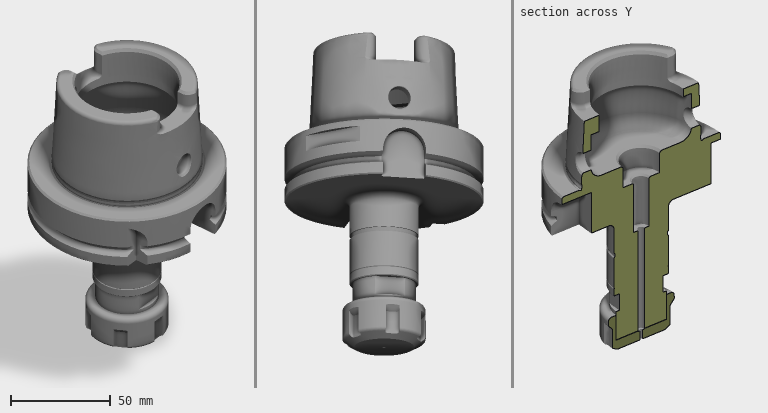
import cadquery as cq
import math


total_height = 155.0
shank_height = 50.0
nut_bottom_z = shank_height - total_height

shank_base_radius = 37.8
shank_half_taper = 1 / 20
shank_base_z = 3.1
shank_top_radius = shank_base_radius - shank_half_taper * (shank_height - shank_base_z)
shank_top_fillet = 2.0
neck_depth = 0.5
neck_top_z = 2.0
neck_bottom_z = 1.1

flange_radius = 49.99
flange_bottom_z = -29.0
flange_top_chamfer = 1.0
flange_bottom_chamfer = 0.6
relief_outer_radius = 39.4
relief_depth = 0.5
gripper_groove_depth = 3.7
gripper_groove_top_z = -17.0
gripper_groove_bottom_z = -23.0
gripper_groove_slope = 1.7

stem_radius = 17.4
stem_fillet = 3.0
stem_bottom_z = -72.2
stem_chamfer = 0.5
stem_groove_depth = 0.6
stem_groove_top_z = -46.8
stem_groove_foot_z = -48.7
stem_groove_bottom_z = -49.3
ring_groove_depth = 0.3
ring_groove_z = -67.6
neck_radius = 16.0
wrench_flat_distance = 14.0
wrench_flat_bottom_z = -81.8

mouth_radius = 26.4
mouth_chamfer_width = 1.1
mouth_chamfer_height = 1.5
mouth_bottom_z = 29.9
recess_radius = 31.5
recess_fillet = 6.5
floor_z = 3.5

thread_radius = 11.3
thread_chamfer = 1.2
thread_bottom_z = -9.3
passage_radius = 4.6
passage_chamfer = 1.0
passage_bottom_z = -38.8
channel_radius = 1.9
jet_radius = 0.7

notch_start_x = 7.8
notch_half_width = 10.0
notch_corner_radius = 5.0
notch_mouth_x = 32.1
notch_floor_fillet = 2.0
notch_top_chamfer = 1.2
deep_notch_floor_z = 34.9
shallow_notch_floor_z = 40.0

cross_hole_radius = 5.7
cross_hole_sink_x = 36.6
cross_hole_sink_depth = 2.3
cross_hole_z = 15.0

slot_top_z = -4.6
wide_slot_half_width = 11.0
wide_slot_floor_x = 44.0
narrow_slot_half_width = 10.0
narrow_slot_floor_x = 31.5
orientation_notch_wall_y = -31.6

label_flat_distance = 47.3
label_flat_top_z = -3.5
label_flat_bottom_z = -11.5
label_flat_angle = 135

nut_radius = 21.0
nut_top_z = -84.0
nut_top_fillet = 2.3
nut_face_radius = 15.0
nut_cone_angle = 30
nut_edge_fillet = 1.9
nut_socket_bottom_z = -99.2
nut_slot_count = 6
nut_slot_width = 7.1
nut_slot_floor_radius = 18.3
nut_slot_floor_fillet = 1.1
nut_slot_top_z = -88.5
nut_slot_run_out = 3.1
short_slot_drop = 1.9
short_slot_index = 5

beyond = 62.0
pick_margin = 0.2


def cylinder(radius, bottom_z, top_z):
    return cq.Workplane("XY").workplane(offset=bottom_z).circle(radius).extrude(top_z - bottom_z)


def revolved(points):
    """Solid of revolution about Z from (radius, height) points."""
    return cq.Workplane("XZ").polyline(points).close().revolve(360, (0, 0, 0), (0, 1, 0))


def holder_blank():
    neck = shank_base_radius - neck_depth
    relief_middle = (shank_base_radius + relief_outer_radius) / 2
    groove_radius = flange_radius - gripper_groove_depth
    stem_groove_radius = stem_radius - stem_groove_depth
    return (
        cq.Workplane("XZ")
        .moveTo(0, shank_height)
        .lineTo(shank_top_radius, shank_height)
        .lineTo(shank_base_radius, shank_base_z)
        .lineTo(neck, neck_top_z)
        .lineTo(neck, neck_bottom_z)
        .lineTo(shank_base_radius, 0)
        .lineTo(shank_base_radius, -relief_depth)
        .lineTo(relief_middle, -relief_depth)
        .lineTo(relief_outer_radius, 0)
        .lineTo(flange_radius - flange_top_chamfer, 0)
        .lineTo(flange_radius, -flange_top_chamfer)
        .lineTo(flange_radius, gripper_groove_top_z)
        .lineTo(groove_radius, gripper_groove_top_z - gripper_groove_slope)
        .lineTo(groove_radius, gripper_groove_bottom_z + gripper_groove_slope)
        .lineTo(flange_radius, gripper_groove_bottom_z)
        .lineTo(flange_radius, flange_bottom_z + flange_bottom_chamfer)
        .lineTo(flange_radius - flange_bottom_chamfer, flange_bottom_z)
        .lineTo(stem_radius + stem_fillet, flange_bottom_z)
        .radiusArc((stem_radius, flange_bottom_z - stem_fillet), -stem_fillet)
        .lineTo(stem_radius, stem_groove_top_z)
        .lineTo(stem_groove_radius, stem_groove_top_z)
        .lineTo(stem_groove_radius, stem_groove_foot_z)
        .lineTo(stem_radius, stem_groove_bottom_z)
        .lineTo(stem_radius, ring_groove_z + ring_groove_depth)
        .lineTo(stem_radius - ring_groove_depth, ring_groove_z)
        .lineTo(stem_radius, ring_groove_z - ring_groove_depth)
        .lineTo(stem_radius, stem_bottom_z + stem_chamfer)
        .lineTo(stem_radius - stem_chamfer, stem_bottom_z)
        .lineTo(neck_radius, stem_bottom_z)
        .lineTo(neck_radius, nut_socket_bottom_z)
        .lineTo(0, nut_socket_bottom_z)
        .close()
        .revolve(360, (0, 0, 0), (0, 1, 0))
    )


def shank_cavity():
    """Clamping bore of the shank with the coolant passage below it."""
    return (
        cq.Workplane("XZ")
        .moveTo(0, shank_height)
        .lineTo(mouth_radius + mouth_chamfer_width, shank_height)
        .lineTo(mouth_radius, shank_height - mouth_chamfer_height)
        .lineTo(mouth_radius, mouth_bottom_z)
        .lineTo(recess_radius, mouth_bottom_z)
        .lineTo(recess_radius, floor_z + recess_fillet)
        .radiusArc((recess_radius - recess_fillet, floor_z), recess_fillet)
        .lineTo(thread_radius + thread_chamfer, floor_z)
        .lineTo(thread_radius, floor_z - thread_chamfer)
        .lineTo(thread_radius, thread_bottom_z)
        .lineTo(passage_radius + passage_chamfer, thread_bottom_z)
        .lineTo(passage_radius, thread_bottom_z - passage_chamfer)
        .lineTo(passage_radius, passage_bottom_z)
        .lineTo(channel_radius, passage_bottom_z)
        .lineTo(channel_radius, nut_socket_bottom_z)
        .lineTo(0, nut_socket_bottom_z)
        .close()
        .revolve(360, (0, 0, 0), (0, 1, 0))
    )


def notch_outline(start_z):
    """Plan of a rim notch: a straight channel that flares out round the prong corners."""
    corner_x = notch_mouth_x - notch_corner_radius
    corner_y = notch_half_width + notch_corner_radius
    return (
        cq.Workplane("XY")
        .workplane(offset=start_z)
        .moveTo(notch_start_x, -notch_half_width)
        .lineTo(corner_x, -notch_half_width)
        .radiusArc((notch_mouth_x, -corner_y), notch_corner_radius)
        .lineTo(notch_mouth_x, -beyond)
        .lineTo(beyond, -beyond)
        .lineTo(beyond, beyond)
        .lineTo(notch_mouth_x, beyond)
        .lineTo(notch_mouth_x, corner_y)
        .radiusArc((corner_x, notch_half_width), notch_corner_radius)
        .lineTo(notch_start_x, notch_half_width)
        .close()
    )


def drive_notch(bottom_z, side):
    """Cutter for one rim notch, rounded at the floor and chamfered at the top."""
    channel = notch_outline(bottom_z).extrude(shank_height - bottom_z)
    channel = channel.faces("<Z").edges().fillet(notch_floor_fillet)
    flare = notch_outline(shank_height - notch_top_chamfer).extrude(notch_top_chamfer, taper=-45)
    cutter = channel.union(flare)
    return cutter if side > 0 else cutter.mirror("YZ")


def cross_hole():
    """Cutter for the hole across the shank, with a 45 degree countersink at each end."""
    hole = cq.Workplane("YZ").center(0, cross_hole_z).circle(cross_hole_radius).extrude(beyond, both=True)
    sink = (
        cq.Workplane("YZ")
        .workplane(offset=cross_hole_sink_x)
        .center(0, cross_hole_z)
        .circle(cross_hole_radius)
        .workplane(offset=cross_hole_sink_depth)
        .circle(cross_hole_radius + cross_hole_sink_depth)
        .loft()
    )
    return hole.union(sink).union(sink.mirror("YZ"))


def flange_slot(half_width, floor_x, center_y, side):
    """Cutter for a round-topped slot milled along X down to a flat floor."""
    spring_z = slot_top_z - half_width
    slot = (
        cq.Workplane("YZ")
        .workplane(offset=floor_x)
        .moveTo(center_y - half_width, flange_bottom_z)
        .lineTo(center_y - half_width, spring_z)
        .threePointArc((center_y, slot_top_z), (center_y + half_width, spring_z))
        .lineTo(center_y + half_width, flange_bottom_z)
        .close()
        .extrude(beyond)
    )
    return slot if side > 0 else slot.mirror("YZ")


def label_flat():
    height = label_flat_top_z - label_flat_bottom_z
    return (
        cq.Workplane("XY")
        .box(beyond, 2 * beyond, height, centered=(False, True, False))
        .translate((label_flat_distance, 0, label_flat_bottom_z))
        .rotate((0, 0, 0), (0, 0, 1), label_flat_angle)
    )


def wrench_flats():
    height = stem_bottom_z - wrench_flat_bottom_z
    flat = (
        cq.Workplane("XY")
        .box(beyond, beyond, height, centered=(False, True, False))
        .translate((wrench_flat_distance, 0, wrench_flat_bottom_z))
    )
    return flat.union(flat.mirror("YZ"))


def make_holder():
    body = holder_blank().faces(">Z").edges().fillet(shank_top_fillet)
    body = body.cut(shank_cavity())
    body = body.cut(drive_notch(shallow_notch_floor_z, 1))
    body = body.cut(drive_notch(deep_notch_floor_z, -1))
    body = body.cut(cross_hole())
    notch_center_y = orientation_notch_wall_y - narrow_slot_half_width
    body = body.cut(flange_slot(wide_slot_half_width, wide_slot_floor_x, 0, -1))
    body = body.cut(flange_slot(narrow_slot_half_width, narrow_slot_floor_x, 0, 1))
    body = body.cut(flange_slot(narrow_slot_half_width, narrow_slot_floor_x, notch_center_y, 1))
    return body.cut(label_flat()).cut(wrench_flats())


def nut_slot(top_z):
    """Cutter for a spanner slot on the +X side, with a sloping upper end."""
    return (
        cq.Workplane("XZ")
        .moveTo(nut_slot_floor_radius, nut_bottom_z)
        .lineTo(nut_slot_floor_radius, top_z - nut_slot_run_out)
        .lineTo(nut_radius, top_z)
        .lineTo(beyond, top_z)
        .lineTo(beyond, nut_bottom_z)
        .close()
        .extrude(nut_slot_width / 2, both=True)
        .faces("<X")
        .edges("|Z")
        .fillet(nut_slot_floor_fillet)
    )


def make_nut():
    cone_height = (nut_radius - nut_face_radius) * math.tan(math.radians(nut_cone_angle))
    body = revolved([
        (0, nut_top_z),
        (nut_radius, nut_top_z),
        (nut_radius, nut_bottom_z + cone_height),
        (nut_face_radius, nut_bottom_z),
        (0, nut_bottom_z),
    ])
    body = body.faces(">Z").edges().fillet(nut_top_fillet)
    widest_edge = cq.selectors.BoxSelector(
        (-beyond, -beyond, nut_bottom_z + cone_height - pick_margin),
        (beyond, beyond, nut_bottom_z + cone_height + pick_margin),
    )
    body = body.edges("%CIRCLE").edges(widest_edge).fillet(nut_edge_fillet)
    body = body.cut(cylinder(neck_radius, nut_socket_bottom_z, nut_top_z))
    body = body.cut(cylinder(jet_radius, nut_bottom_z, nut_socket_bottom_z))
    for index in range(nut_slot_count):
        drop = short_slot_drop if index == short_slot_index else 0
        slot = nut_slot(nut_slot_top_z - drop)
        body = body.cut(slot.rotate((0, 0, 0), (0, 0, 1), index * 360 / nut_slot_count))
    return body


holder = make_holder()
nut = make_nut()

result = cq.Compound.makeCompound([holder.val(), nut.val()])